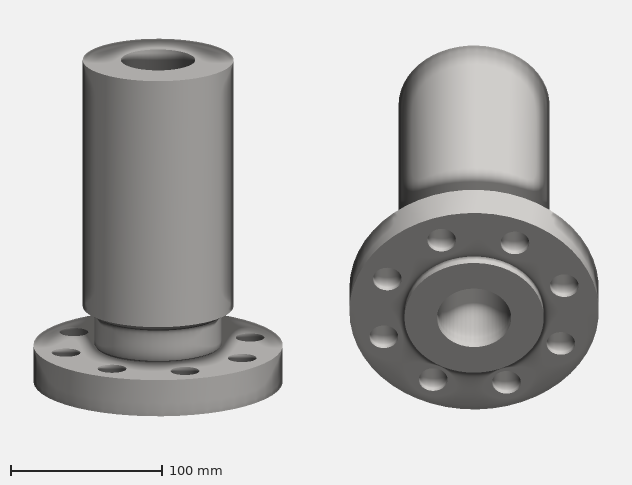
import cadquery as cq

total_height = 228.5
flange_diameter = 165.0
bore_diameter = 49.1

face_diameter = 92.1
face_height = 7.0

flange_thickness = 25.0
bolt_circle_diameter = 126.9
bolt_hole_diameter = 19.0
bolt_hole_count = 8

neck_diameter = 84.4
neck_foot_inset = 1.0
neck_foot_height = 0.7
neck_foot_chamfer_height = 0.7

barrel_diameter = 100.0
barrel_height = 169.6
cone_height = 4.5

flange_top = face_height + flange_thickness
barrel_bottom = total_height - barrel_height
cone_bottom = barrel_bottom - cone_height


def turned_body():
    """Solid of revolution about Z, from the sealing face up to the barrel end."""
    neck_radius = neck_diameter / 2
    foot_radius = neck_radius - neck_foot_inset
    foot_top = flange_top + neck_foot_height
    outline = [
        (0, 0),
        (face_diameter / 2, 0),
        (face_diameter / 2, face_height),
        (flange_diameter / 2, face_height),
        (flange_diameter / 2, flange_top),
        (foot_radius, flange_top),
        (foot_radius, foot_top),
        (neck_radius, foot_top + neck_foot_chamfer_height),
        (neck_radius, cone_bottom),
        (barrel_diameter / 2, barrel_bottom),
        (barrel_diameter / 2, total_height),
        (0, total_height),
    ]
    return cq.Workplane("XZ").polyline(outline).close().revolve(360, (0, 0, 0), (0, 1, 0))


def bore():
    """Straight bore through the full height."""
    return cq.Workplane("XY").circle(bore_diameter / 2).extrude(total_height)


def bolt_holes():
    """Through holes evenly spaced on the bolt circle, the first one on +X."""
    return (
        cq.Workplane("XY")
        .polarArray(bolt_circle_diameter / 2, 0, 360, bolt_hole_count)
        .circle(bolt_hole_diameter / 2)
        .extrude(flange_top)
    )


result = turned_body().cut(bore()).cut(bolt_holes())